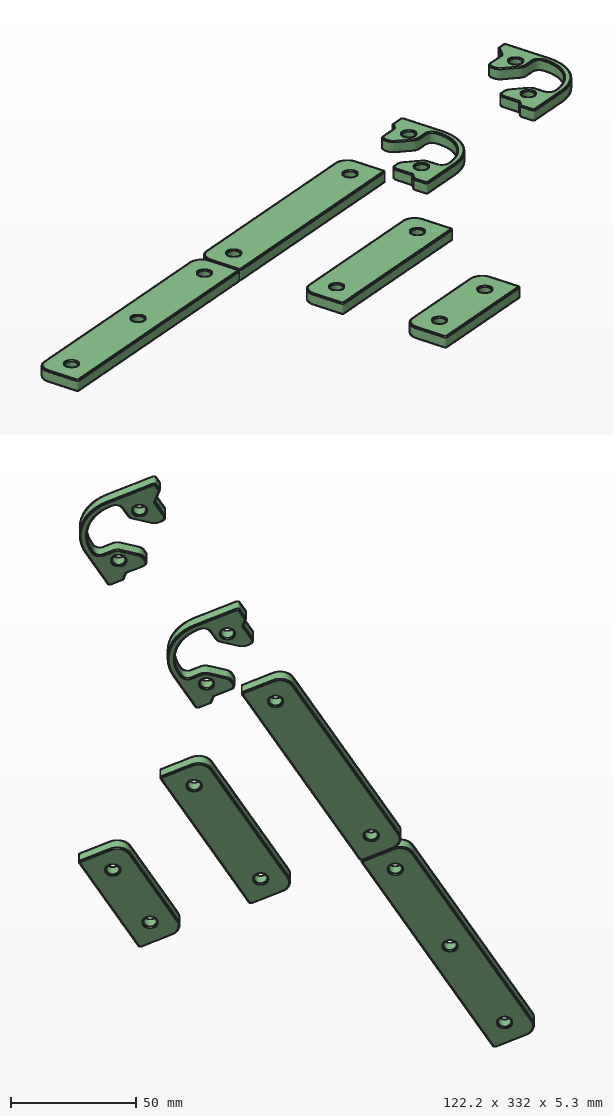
import cadquery as cq

overall_length = 332.0
thickness = 5.3
hole_diameter = 5.3
rim_chamfer = 0.5

end_corner_radius = 1.0

strip_width = 20.5
strip_corner_radius = 6.0
last_row_x = 100.0
strip_pitch = last_row_x / 2
lower_strip_length = 114.0
long_strip_length = 102.3
medium_strip_length = 77.5
short_strip_length = 52.5

bracket_pitch = 75.0
short_reach = 40.2
long_reach = 42.0
short_tip_depth = 6.5
long_tip_depth = 4.3
band_outer_radius = 20.3
band_width = 3.0
lobe_near = 24.2
lobe_far = 37.5
lobe_depth = 19.5
lobe_bevel = 7.5
lobe_bevel_radius = 4.0
lobe_corner_radius = 2.5
root_radius = 3.0
bracket_hole_inset = 10.0
bracket_hole_reach = 30.0


def drill_and_chamfer(plate, hole_centres):
    """Cut the through holes, then chamfer all edges of the top and bottom faces."""
    drills = cq.Workplane("XY").pushPoints(hole_centres).circle(hole_diameter / 2).extrude(thickness)
    return plate.cut(drills).faces("<Z or >Z").edges().chamfer(rim_chamfer)


def make_strip(row, bottom, length, hole_count):
    """A strip with well rounded left corners and evenly spaced holes along its length."""
    left = row * strip_pitch - strip_width / 2
    end_inset = strip_width / 2
    hole_step = (length - 2 * end_inset) / (hole_count - 1)
    hole_centres = [
        (row * strip_pitch, bottom + end_inset + i * hole_step) for i in range(hole_count)
    ]
    plate = (
        cq.Workplane("XY", origin=(left, bottom, 0))
        .rect(strip_width, length, centered=False)
        .extrude(thickness)
        .edges("|Z and <X")
        .fillet(strip_corner_radius)
        .edges("|Z and >X")
        .fillet(end_corner_radius)
    )
    return drill_and_chamfer(plate, hole_centres)


def arm_outline(reach, tip_depth):
    """Sharp-cornered outline of one arm, from its tip round the lobe to the band.

    Each point is (distance along the arm, distance in from the outer edge).
    """
    return [
        (reach, 0),
        (reach, tip_depth),
        (lobe_far, tip_depth + reach - lobe_far),
        (lobe_far, lobe_depth),
        (lobe_near + lobe_bevel, lobe_depth),
        (lobe_near, lobe_depth - lobe_bevel),
        (lobe_near, band_width),
    ]


def on_left_arm(points):
    return [(-along, -depth) for along, depth in points]


def on_lower_arm(points):
    return [(-depth, -along) for along, depth in points]


def make_bracket(corner, left_reach, left_tip_depth):
    """Two lobed arms at a right angle, joined by a curved band; corner is where the outer edges meet."""
    left_arm = arm_outline(left_reach, left_tip_depth)
    lower_arm = arm_outline(short_reach, short_tip_depth)
    outer_corner = (0, 0)
    inner_corner = (-band_width, -band_width)
    left_points = on_left_arm(left_arm)
    lower_points = on_lower_arm(lower_arm)
    outline = [outer_corner] + left_points + [inner_corner] + lower_points[::-1]
    plate = cq.Workplane("XY").polyline(outline).close().extrude(thickness)

    lobe_corner, bevel_end, bevel_start, root = left_arm[3:]
    roundings = [
        (band_outer_radius, [outer_corner]),
        (band_outer_radius - band_width, [inner_corner]),
        (end_corner_radius, [left_points[0], lower_points[0]]),
    ]
    for place in (on_left_arm, on_lower_arm):
        roundings += [
            (root_radius, place([root])),
            (lobe_bevel_radius, place([bevel_end, bevel_start])),
            (lobe_corner_radius, place([lobe_corner])),
        ]
    for radius, corners in roundings:
        for x, y in corners:
            upright = cq.selectors.NearestToPointSelector((x, y, thickness / 2))
            plate = plate.edges("|Z").edges(upright).fillet(radius)

    holes = [(bracket_hole_reach, bracket_hole_inset)]
    plate = drill_and_chamfer(plate, on_left_arm(holes) + on_lower_arm(holes))
    return plate.translate((*corner, 0))


lower_strip = make_strip(0, -lower_strip_length, lower_strip_length, 3)
long_strip = make_strip(0, 0, long_strip_length, 2)
medium_strip = make_strip(1, 0, medium_strip_length, 2)
short_strip = make_strip(2, 0, short_strip_length, 2)

bracket_x = bracket_hole_reach
upper_bracket_y = overall_length - lower_strip_length
long_arm_bracket = make_bracket((bracket_x, upper_bracket_y), long_reach, long_tip_depth)
even_bracket = make_bracket((bracket_x, upper_bracket_y - bracket_pitch), short_reach, short_tip_depth)

bodies = [lower_strip, long_strip, medium_strip, short_strip, long_arm_bracket, even_bracket]
result = cq.Compound.makeCompound([body.val() for body in bodies])